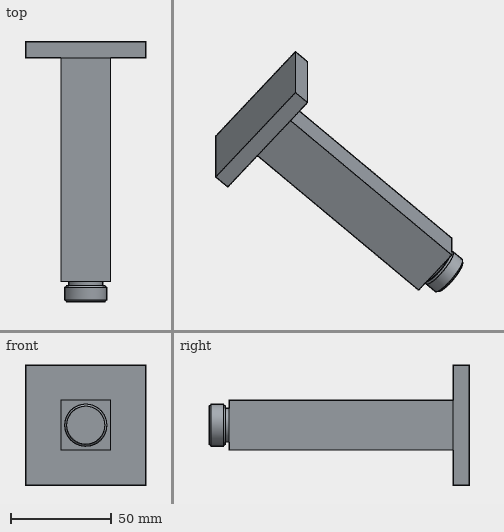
import cadquery as cq

total_length = 130.0
plate_side = 60.0
plate_thickness = 8.0
arm_side = 25.0
neck_diameter = 17.0
neck_length = 2.0
head_diameter = 21.0
head_length = 8.0
head_chamfer = 1.0

arm_length = total_length - plate_thickness - neck_length - head_length

arm_start = plate_thickness
neck_start = arm_start + arm_length
head_start = neck_start + neck_length


def section_plane(distance):
    """XZ plane facing -Y, moved the given distance away from the plate's back."""
    return cq.Workplane("XZ").workplane(offset=distance)


plate = section_plane(0).rect(plate_side, plate_side).extrude(plate_thickness)
arm = section_plane(arm_start).rect(arm_side, arm_side).extrude(arm_length)
neck = section_plane(neck_start).circle(neck_diameter / 2).extrude(neck_length)

head = section_plane(head_start).circle(head_diameter / 2).extrude(head_length)
head = head.edges("%CIRCLE").chamfer(head_chamfer)

result = plate.union(arm).union(neck).union(head)